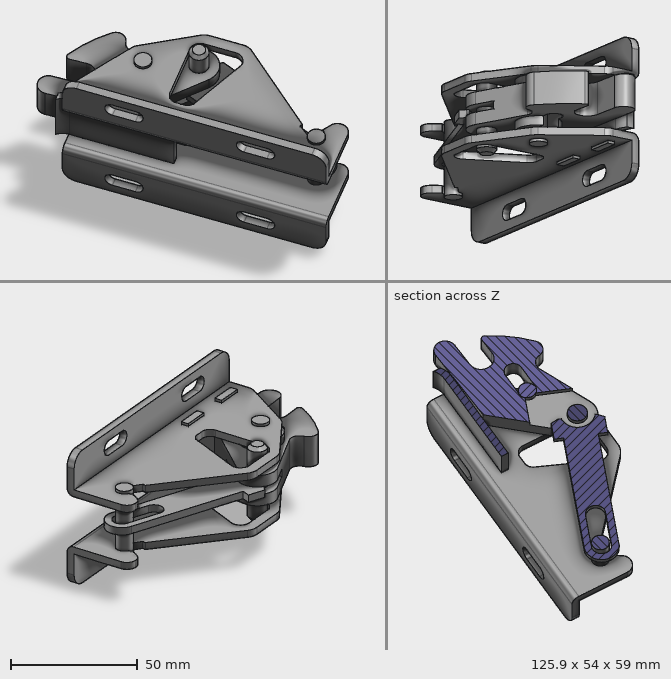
import cadquery as cq
import math

overall_length = 125.9
hook_left = -15.6

plate_length = overall_length + hook_left
plate_height = 54.0
sheet = 3.1
foot_thickness = 3.4
overall_width = 59.0
inner_width = 22.3
web_inner = inner_width / 2
web_outer = web_inner + sheet
foot_outer = overall_width / 2
foot_corner_radius = 5.9
web_corner_radius = 6.3
ear_radius = 4.2

foot_slot_length = 16.0
foot_slot_width = 6.4
foot_slot_z = 22.3
foot_slot_xs = (25.8, 80.8)

rivet_diameter = 7.2
rivet_radius = rivet_diameter / 2
rivet_half_length = 15.5
pivot_x, pivot_y = 22.0, 32.8
stop_x, stop_y = 99.2, 19.8
rivet_places = ((pivot_x, pivot_y), (stop_x, stop_y))
release_radius = 4.0
release_half_length = 16.6
release_chamfer_length = 1.6
release_chamfer_depth = 1.4
release_x, release_y = 41.4, 44.2

back_top = 11.0
back_thickness = 3.3
back_left, back_right = 0.4, 43.9
lip_left = -4.9
lip_drop = 1.9
tab_length = 11.1
tab_reach = 1.1
tab_xs = (11.2, 35.0)

hook_thickness = 13.5
finger_radius = 4.5
finger_x, finger_y = hook_left + finger_radius, 15.1
eye_radius = 8.2
boss_radius = 9.3
boss_width = 21.0
pivot_slot_length = 10.6

link_thickness = 3.3
link_tilt = 22.4
link_width = 14.0
link_half_width = link_width / 2
link_rise = 0.3
link_end = 1.4
link_slot_start = -13.8
link_slot_half_width = 3.9
head_right = -51.5
head_left = -60.9
head_width = 21.5
head_half_width = head_width / 2
head_bevel_length = 1.6
head_bevel_width = 3.0
head_hollow_radius = 6.9

slit_left = -74.4
slit_half_width = 18.9


def rounded_profile(corners):
    """Closed wire through (x, y, radius) corners, each rounded by its own radius."""
    count = len(corners)
    bends = []
    for i in range(count):
        x, y, radius = corners[i]
        corner = cq.Vector(x, y)
        if radius == 0:
            bends.append((corner, None, corner))
            continue
        before = (cq.Vector(*corners[i - 1][:2]) - corner).normalized()
        after = (cq.Vector(*corners[(i + 1) % count][:2]) - corner).normalized()
        half_angle = before.getAngle(after) / 2
        setback = radius / math.tan(half_angle)
        to_middle = radius / math.sin(half_angle) - radius
        middle = corner + (before + after).normalized() * to_middle
        bends.append((corner + before * setback, middle, corner + after * setback))
    profile = cq.Workplane("XY").moveTo(*bends[0][2].toTuple()[:2])
    for start, middle, end in bends[1:] + bends[:1]:
        profile = profile.lineTo(start.x, start.y)
        if middle is not None:
            profile = profile.threePointArc((middle.x, middle.y), (end.x, end.y))
    return profile.close()


def centred_disc(x, y, radius, width):
    """Round bar along Z, centred on Z = 0."""
    return cq.Workplane("XY").center(x, y).circle(radius).extrude(width / 2, both=True)


def make_plate():
    """Plate on the +Z side, with its window, foot slots and the holes for rivets and tabs."""
    web_outline = [
        (0, 0, 0),
        (0, 14.2, web_corner_radius),
        (16.1, 39.0, web_corner_radius),
        (40.5, plate_height, web_corner_radius),
        (58.8, plate_height, web_corner_radius),
        (91.6, 24.4, 0),
        (91.1, 23.3, 0),
        (95.7, 19.8, 0),
        (stop_x, stop_y, 0),
        (100.8, 22.9, 0),
        (100.8, 23.9, 0),
        (100.2, 24.4, 0),
        (103.6, 29.7, ear_radius),
        (plate_length, 29.7, ear_radius),
        (plate_length, 0, 0),
    ]
    window_outline = [
        (37.3, 49.3, 4.4),
        (61.4, 49.3, 4.2),
        (47.2, 17.9, 3.8),
        (37.3, 17.9, 3.8),
    ]
    web = rounded_profile(web_outline).extrude(sheet).translate((0, 0, web_inner))
    window = rounded_profile(window_outline).extrude(foot_outer)
    foot = (
        cq.Workplane("XY")
        .box(plate_length, foot_thickness, foot_outer - web_inner, centered=False)
        .translate((0, 0, web_inner))
        .edges("|Y and >Z")
        .fillet(foot_corner_radius)
    )
    slots = (
        cq.Workplane("XZ")
        .pushPoints([(x, foot_slot_z) for x in foot_slot_xs])
        .slot2D(foot_slot_length, foot_slot_width)
        .extrude(-foot_thickness)
    )
    plate = web.union(foot).edges("|X and <Y and <Z").fillet(sheet)
    plate = plate.cut(window).cut(slots)
    for x, y in rivet_places:
        plate = plate.cut(centred_disc(x, y, rivet_radius, overall_width))
    return plate.cut(make_tabs())


def make_tabs():
    """Tab bars that run across both plates."""
    return (
        cq.Workplane("XY")
        .pushPoints([(x, back_top - back_thickness / 2) for x in tab_xs])
        .rect(tab_length, back_thickness)
        .extrude(web_outer + tab_reach, both=True)
    )


def make_back_plate():
    """Floor between the plates, with a lip that curves down on the left and its tabs."""
    lip_middle = (back_left + lip_left) / 2
    middle_drop = lip_drop / 4
    back_bottom = back_top - back_thickness
    profile = (
        cq.Workplane("XY")
        .moveTo(back_right, back_top)
        .lineTo(back_left, back_top)
        .threePointArc((lip_middle, back_top - middle_drop), (lip_left, back_top - lip_drop))
        .lineTo(lip_left, back_bottom - lip_drop)
        .threePointArc((lip_middle, back_bottom - middle_drop), (back_left, back_bottom))
        .lineTo(back_right, back_bottom)
        .close()
    )
    return profile.extrude(web_inner, both=True).union(make_tabs())


def make_rivet(x, y):
    return centred_disc(x, y, rivet_radius, 2 * rivet_half_length)


def make_release_pin():
    pin = centred_disc(release_x, release_y, release_radius, 2 * release_half_length)
    return pin.faces("|Z").edges().chamfer(release_chamfer_length, release_chamfer_depth)


def place_on_link_axis(body):
    """Move a body from the link's own axis, with the stop pin at the origin, into the assembly."""
    raised = body.translate((0, link_rise, 0))
    return raised.rotate((0, 0, 0), (0, 0, 1), -link_tilt).translate((stop_x, stop_y, 0))


def make_link():
    """T-shaped bar, rounded and slotted at the stop pin and hollowed out around the release pin."""
    bevel_end = head_half_width - head_bevel_width
    upper_half = [
        (head_left, bevel_end),
        (head_left + head_bevel_length, head_half_width),
        (head_right, head_half_width),
        (head_right, link_half_width),
        (link_end, link_half_width),
    ]
    lower_half = [(x, -y) for x, y in reversed(upper_half)]
    slot = (
        cq.Workplane("XY")
        .center((link_slot_start + link_end) / 2, 0)
        .slot2D(link_end - link_slot_start + 2 * link_slot_half_width, 2 * link_slot_half_width)
        .extrude(link_thickness, both=True)
    )
    link = (
        cq.Workplane("XY")
        .polyline(upper_half + lower_half)
        .close()
        .extrude(link_thickness / 2, both=True)
        .union(centred_disc(link_end, 0, link_half_width, link_thickness))
        .cut(slot)
    )
    hollow = centred_disc(release_x, release_y, head_hollow_radius, hook_thickness)
    return place_on_link_axis(link).cut(hollow)


def make_hook():
    """Jaw, finger and arm in one solid, with a slotted boss on the pivot and a slit for the link."""
    outline = [
        (-11.0, 10.6, 0),
        (-11.2, 19.6, 0),
        (4.7, 20.1, 5.0),
        (4.7, 30.3, 5.0),
        (-10.2, 29.8, 1.4),
        (-4.0, 41.2, 56.6),
        (8.9, 52.6, 4.0),
        (11.3, 40.5, 4.0),
        (38.3, 51.7, 0),
        (47.6, 38.8, 0),
        (23.2, 11.8, 0),
    ]
    body = rounded_profile(outline).extrude(hook_thickness / 2, both=True)
    finger_tip = centred_disc(finger_x, finger_y, finger_radius, hook_thickness)
    eye = centred_disc(release_x, release_y, eye_radius, hook_thickness)
    boss = centred_disc(pivot_x, pivot_y, boss_radius, boss_width)
    pivot_slot = (
        cq.Workplane("XY")
        .center(pivot_x - pivot_slot_length / 2, pivot_y)
        .slot2D(pivot_slot_length + 2 * rivet_radius, 2 * rivet_radius)
        .extrude(boss_width, both=True)
    )
    slit = place_on_link_axis(
        cq.Workplane("XY")
        .box(-slit_left, 2 * slit_half_width, link_thickness)
        .translate((slit_left / 2, 0, 0))
    )
    release_hole = centred_disc(release_x, release_y, release_radius, boss_width)
    body = body.union(finger_tip).union(eye).union(boss)
    return body.cut(pivot_slot).cut(release_hole).cut(slit)


upper_plate = make_plate()
lower_plate = upper_plate.mirror("XY")
back_plate = make_back_plate()
hook = make_hook()
link = make_link()
release_pin = make_release_pin()
rivets = [make_rivet(x, y) for x, y in rivet_places]

bodies = [upper_plate, lower_plate, back_plate, hook, link, release_pin, *rivets]
result = cq.Compound.makeCompound([body.val() for body in bodies])